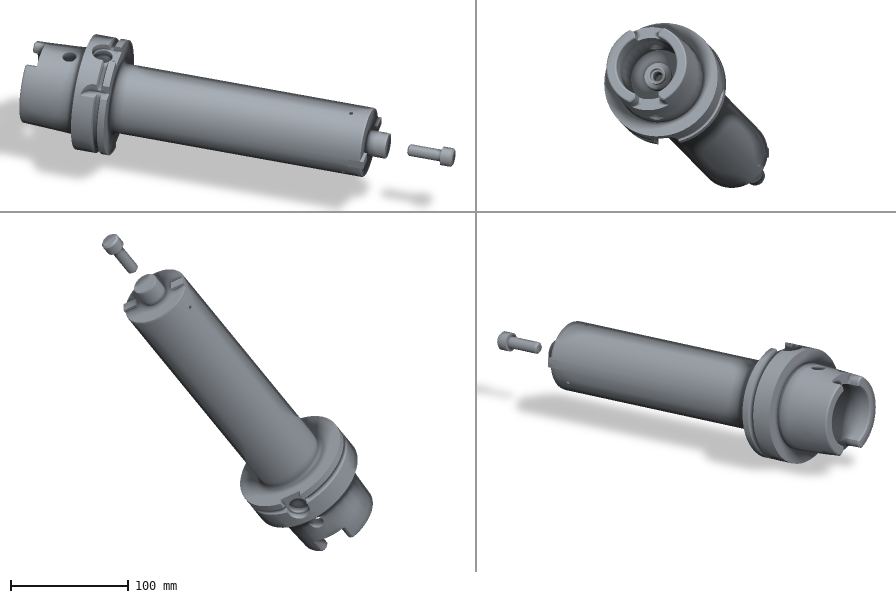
import cadquery as cq
import math


ARC_MIDDLE = 1 - math.sqrt(0.5)

TAPER_LENGTH = 50.0
TAPER_BASE_RADIUS = 38.0
TAPER_BASE_X = -2.2
TAPER_END_RADIUS = TAPER_BASE_RADIUS - (TAPER_LENGTH + TAPER_BASE_X) / 20
TAPER_RELIEF_RADIUS = 37.5
FACE_RECESS_RADIUS = 39.0
FACE_RECESS_DEPTH = 0.8
RIM_FILLET = 1.5
CROSS_HOLE_DIAMETER = 12.0
CROSS_HOLE_CHAMFER = 0.8
CROSS_HOLE_X = -14.5

BORE_DIAMETER = 53.0
BORE_STRAIGHT_END_X = -31.0
BORE_FLOOR_X = -7.5
BORE_FLOOR_RADIUS = 24.5
COLLAR_DIAMETER = 24.0
COLLAR_X = -12.0
COLLAR_CHAMFER = 0.8
NOZZLE_DIAMETER = 15.5
NOZZLE_X = -15.0
NOZZLE_MOUTH_DIAMETER = 12.0
NOZZLE_MOUTH_DEPTH = 3.8
NOZZLE_BORE_DIAMETER = 8.5
NOZZLE_BORE_DEPTH = 15.0

RIM_SLOT_HALF_WIDTH = 10.0
RIM_SLOT_ROUND = 5.5
RIM_SLOT_ROUND_START = 26.2
RIM_SLOT_FLOOR_FILLET = 1.5
RIM_SLOT_MOUTH_CHAMFER = 1.0
UPPER_RIM_SLOT_DEPTH = 10.0
LOWER_RIM_SLOT_DEPTH = 15.0

FLANGE_RADIUS = 100.0 / 2
FLANGE_LENGTH = 29.0
GROOVE_X = 20.2
GROOVE_OUTER_WIDTH = 5.5
GROOVE_FLOOR_WIDTH = 2.5
GROOVE_FLOOR_RADIUS = 45.8
KEYWAY_RADIUS = 9.8
KEYWAY_X = 15.2
KEYWAY_FLOOR = 44.0
KEYWAY_POCKET_DIAMETER = 16.0
KEYWAY_POCKET_DEPTH = 5.5
NOTCH_FLOOR = 31.0
NOTCH_RADIUS = 10.0

SHAFT_RADIUS = 30.0
SHAFT_END_X = 250.0
SHAFT_ROOT_FILLET = 3.5
SHAFT_END_CHAMFER_LENGTH = 1.5
SHAFT_END_CHAMFER_DEPTH = 0.5
PILOT_DIAMETER = 22.0
PILOT_LENGTH = 17.0
PILOT_CHAMFER_LENGTH = 1.5
PILOT_CHAMFER_DEPTH = 0.5
RELIEF_DIAMETER = 21.8
RELIEF_WIDTH = 1.0
COOLANT_HOLE_DIAMETER = 3.4
COOLANT_HOLE_X = 234.5
COOLANT_HOLE_DEPTH = 3.8
COOLANT_HOLE_COUNT = 3

KEY_WIDTH = 8.0
KEY_START_X = 239.2
KEY_PROTRUSION = 3.0
KEY_INNER = 17.5
KEY_CORNER_RADIUS = 3.0
KEY_OUTER = math.sqrt(SHAFT_RADIUS**2 - (KEY_WIDTH / 2) ** 2)

SCREW_END_X = 375 - TAPER_LENGTH
SCREW_HEAD_DIAMETER = 16.0
SCREW_HEAD_LENGTH = 10.0
SCREW_HEAD_CHAMFER = 1.5
SCREW_SHANK_DIAMETER = 10.0
SCREW_SHANK_LENGTH = 30.0
SCREW_TIP_CHAMFER = 1.5


def rod(start_x, length, radius):
    """Cylinder on the X axis."""
    return cq.Workplane("YZ", origin=(start_x, 0, 0)).circle(radius).extrude(length)


def turned(profile):
    """Solid turned about X from an (x, radius) profile."""
    return profile.close().revolve(360, (0, 0, 0), (1, 0, 0))


def holder_blank():
    """Taper, flange, shaft and pilot, all round."""
    shaft_root = SHAFT_ROOT_FILLET
    pilot_end_x = SHAFT_END_X + PILOT_LENGTH
    profile = (
        cq.Workplane("XY")
        .moveTo(-TAPER_LENGTH, 0)
        .lineTo(-TAPER_LENGTH, TAPER_END_RADIUS - RIM_FILLET)
        .threePointArc(
            (-TAPER_LENGTH + RIM_FILLET * ARC_MIDDLE, TAPER_END_RADIUS - RIM_FILLET * ARC_MIDDLE),
            (-TAPER_LENGTH + RIM_FILLET, TAPER_END_RADIUS),
        )
        .lineTo(TAPER_BASE_X, TAPER_BASE_RADIUS)
        .lineTo(TAPER_BASE_X, TAPER_RELIEF_RADIUS)
        .lineTo(FACE_RECESS_DEPTH, TAPER_RELIEF_RADIUS)
        .lineTo(FACE_RECESS_DEPTH, FACE_RECESS_RADIUS)
        .lineTo(0, FACE_RECESS_RADIUS)
        .lineTo(0, FLANGE_RADIUS)
        .lineTo(FLANGE_LENGTH, FLANGE_RADIUS)
        .lineTo(FLANGE_LENGTH, SHAFT_RADIUS + shaft_root)
        .threePointArc(
            (FLANGE_LENGTH + shaft_root * ARC_MIDDLE, SHAFT_RADIUS + shaft_root * ARC_MIDDLE),
            (FLANGE_LENGTH + shaft_root, SHAFT_RADIUS),
        )
        .lineTo(SHAFT_END_X - SHAFT_END_CHAMFER_LENGTH, SHAFT_RADIUS)
        .lineTo(SHAFT_END_X, SHAFT_RADIUS - SHAFT_END_CHAMFER_DEPTH)
        .lineTo(SHAFT_END_X, RELIEF_DIAMETER / 2)
        .lineTo(SHAFT_END_X + RELIEF_WIDTH, RELIEF_DIAMETER / 2)
        .lineTo(SHAFT_END_X + RELIEF_WIDTH, PILOT_DIAMETER / 2)
        .lineTo(pilot_end_x - PILOT_CHAMFER_LENGTH, PILOT_DIAMETER / 2)
        .lineTo(pilot_end_x, PILOT_DIAMETER / 2 - PILOT_CHAMFER_DEPTH)
        .lineTo(pilot_end_x, 0)
    )
    return turned(profile)


def shank_bore():
    """Cavity of the shank, less the nozzle that stands on its floor."""
    bore_radius = BORE_DIAMETER / 2
    cavity = turned(
        cq.Workplane("XY")
        .moveTo(-TAPER_LENGTH, 0)
        .lineTo(-TAPER_LENGTH, bore_radius + RIM_FILLET)
        .threePointArc(
            (-TAPER_LENGTH + RIM_FILLET * ARC_MIDDLE, bore_radius + RIM_FILLET * ARC_MIDDLE),
            (-TAPER_LENGTH + RIM_FILLET, bore_radius),
        )
        .lineTo(BORE_STRAIGHT_END_X, bore_radius)
        .lineTo(BORE_FLOOR_X, BORE_FLOOR_RADIUS)
        .lineTo(BORE_FLOOR_X, 0)
    )
    collar = rod(COLLAR_X, BORE_FLOOR_X - COLLAR_X, COLLAR_DIAMETER / 2)
    collar = collar.faces("<X").chamfer(COLLAR_CHAMFER)
    nozzle = rod(NOZZLE_X, BORE_FLOOR_X - NOZZLE_X, NOZZLE_DIAMETER / 2)
    nozzle_mouth = rod(NOZZLE_X, NOZZLE_MOUTH_DEPTH, NOZZLE_MOUTH_DIAMETER / 2)
    nozzle_bore = rod(NOZZLE_X, NOZZLE_BORE_DEPTH, NOZZLE_BORE_DIAMETER / 2)
    return cavity.cut(collar).cut(nozzle).union(nozzle_mouth).union(nozzle_bore)


def rim_slot_outline(growth):
    """Outline of a rim slot with flared sides, its sides moved outward by growth."""
    wall = RIM_SLOT_HALF_WIDTH + growth
    flare = RIM_SLOT_ROUND - growth
    low = RIM_SLOT_ROUND_START
    high = low + flare
    outside = TAPER_BASE_RADIUS + growth
    arc_y = wall + flare * ARC_MIDDLE
    arc_z = high - flare * ARC_MIDDLE
    return (
        cq.Workplane("YZ", origin=(-TAPER_LENGTH, 0, 0))
        .moveTo(-wall, 0)
        .lineTo(wall, 0)
        .lineTo(wall, low)
        .threePointArc((arc_y, arc_z), (wall + flare, high))
        .lineTo(wall + flare, outside)
        .lineTo(-wall - flare, outside)
        .lineTo(-wall - flare, high)
        .threePointArc((-arc_y, arc_z), (-wall, low))
        .close()
    )


def rim_slot(depth, side):
    """Slot in the rim toward +Z (side = 1) or -Z (side = -1), with a chamfered mouth."""
    slot = rim_slot_outline(0).extrude(depth).faces(">X").edges().fillet(RIM_SLOT_FLOOR_FILLET)
    mouth = rim_slot_outline(RIM_SLOT_MOUTH_CHAMFER).extrude(RIM_SLOT_MOUTH_CHAMFER, taper=45)
    slot = slot.union(mouth)
    if side < 0:
        slot = slot.mirror("XY")
    return slot


def flange_groove():
    """V-shaped gripper groove around the flange."""
    return turned(
        cq.Workplane("XY")
        .moveTo(GROOVE_X - GROOVE_OUTER_WIDTH / 2, FLANGE_RADIUS)
        .lineTo(GROOVE_X - GROOVE_FLOOR_WIDTH / 2, GROOVE_FLOOR_RADIUS)
        .lineTo(GROOVE_X + GROOVE_FLOOR_WIDTH / 2, GROOVE_FLOOR_RADIUS)
        .lineTo(GROOVE_X + GROOVE_OUTER_WIDTH / 2, FLANGE_RADIUS)
    )


def round_ended_slot(center_x, center_y, radius, floor_z):
    """Slot cut down from above, round at the taper end and open at the shaft end."""
    height = FLANGE_RADIUS - floor_z
    level = cq.Workplane("XY", origin=(center_x, center_y, floor_z))
    run = FLANGE_LENGTH - center_x
    straight = level.center(run / 2, 0).rect(run, 2 * radius).extrude(height)
    return level.circle(radius).extrude(height).union(straight)


def flange_keyway():
    """Keyway on the +Z side of the flange, with a round pocket in its floor."""
    pocket = (
        cq.Workplane("XY", origin=(KEYWAY_X, 0, KEYWAY_FLOOR - KEYWAY_POCKET_DEPTH))
        .circle(KEYWAY_POCKET_DIAMETER / 2)
        .extrude(KEYWAY_POCKET_DEPTH)
    )
    return round_ended_slot(KEYWAY_X, 0, KEYWAY_RADIUS, KEYWAY_FLOOR).union(pocket)


def flange_notch():
    """Orientation notch on the -Y +Z corner of the flange, as deep in Y as in Z."""
    return round_ended_slot(KEYWAY_X, -NOTCH_FLOOR - NOTCH_RADIUS, NOTCH_RADIUS, NOTCH_FLOOR)


def driving_key(side):
    """Key on the +Y (side = 1) or -Y (side = -1) edge of the shaft end."""
    end_x = SHAFT_END_X + KEY_PROTRUSION
    key = (
        cq.Workplane("XY")
        .box(end_x - KEY_START_X, KEY_OUTER - KEY_INNER, KEY_WIDTH, centered=(False, False, True))
        .translate((KEY_START_X, KEY_INNER, 0))
        .edges("<X and |Y")
        .fillet(KEY_CORNER_RADIUS)
    )
    if side < 0:
        key = key.mirror("XZ")
    return key


def key_seat(side):
    """Clears the shaft outside the flat outer face of a key."""
    key = driving_key(side)
    return key.translate((0, side * (KEY_OUTER - KEY_INNER), 0))


def coolant_hole(angle):
    """Radial hole in the shaft, turned about X from the +Z side."""
    return (
        cq.Workplane("XY", origin=(COOLANT_HOLE_X, 0, SHAFT_RADIUS - COOLANT_HOLE_DEPTH))
        .circle(COOLANT_HOLE_DIAMETER / 2)
        .extrude(COOLANT_HOLE_DEPTH)
        .rotate((0, 0, 0), (1, 0, 0), angle)
    )


def cross_hole_countersink(side):
    """Cone that breaks the outer edge of the cross hole on the +Z (side = 1) or -Z (side = -1) side."""
    surface = TAPER_BASE_RADIUS + (CROSS_HOLE_X - TAPER_BASE_X) / 20
    mouth_radius = CROSS_HOLE_DIAMETER / 2 + CROSS_HOLE_CHAMFER
    cone = cq.Solid.makeCone(
        mouth_radius, 0, mouth_radius, cq.Vector(CROSS_HOLE_X, 0, side * surface), cq.Vector(0, 0, -side)
    )
    return cq.Workplane("XY").add(cone)


def make_holder():
    holder = holder_blank().cut(shank_bore())
    holder = holder.cut(rim_slot(UPPER_RIM_SLOT_DEPTH, 1)).cut(rim_slot(LOWER_RIM_SLOT_DEPTH, -1))

    cross_hole = (
        cq.Workplane("XY", origin=(CROSS_HOLE_X, 0, 0))
        .circle(CROSS_HOLE_DIAMETER / 2)
        .extrude(TAPER_BASE_RADIUS, both=True)
    )
    for side in (1, -1):
        cross_hole = cross_hole.union(cross_hole_countersink(side))
    nozzle_keep = rod(NOZZLE_X, -NOZZLE_X, BORE_FLOOR_RADIUS)
    holder = holder.cut(cross_hole.cut(nozzle_keep))

    keyway = flange_keyway()
    holder = holder.cut(flange_groove()).cut(keyway).cut(keyway.mirror("XY")).cut(flange_notch())

    for side in (1, -1):
        holder = holder.cut(key_seat(side)).union(driving_key(side))
    for index in range(COOLANT_HOLE_COUNT):
        holder = holder.cut(coolant_hole(index * 360 / COOLANT_HOLE_COUNT))
    return holder


def make_screw():
    """Cylinder-head screw standing clear of the pilot, tip toward it."""
    head_x = SCREW_END_X - SCREW_HEAD_LENGTH
    head = rod(head_x, SCREW_HEAD_LENGTH, SCREW_HEAD_DIAMETER / 2)
    head = head.faces(">X").chamfer(SCREW_HEAD_CHAMFER)
    shank = rod(head_x - SCREW_SHANK_LENGTH, SCREW_SHANK_LENGTH, SCREW_SHANK_DIAMETER / 2)
    shank = shank.faces("<X").chamfer(SCREW_TIP_CHAMFER)
    return head.union(shank)


holder = make_holder()
screw = make_screw()

result = cq.Compound.makeCompound([holder.val(), screw.val()])